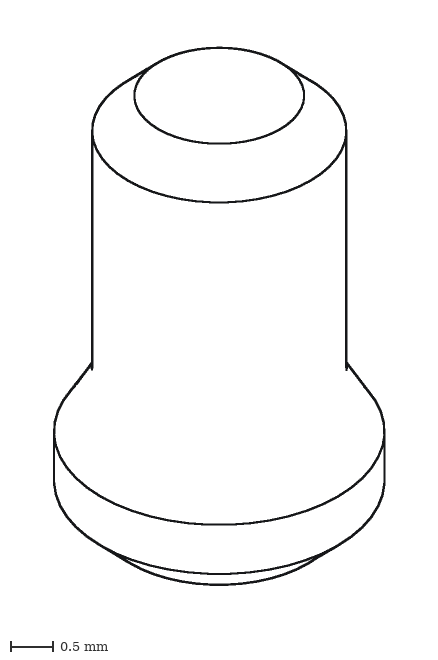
import cadquery as cq
import math

total_height = 6.0
head_radius = 3.9 / 2
shank_radius = 3.0 / 2
chamfer = 0.5
neck_fillet = 0.5
cone_angle = math.radians(30)
cone_base = 1.2

neck_height = cone_base + (head_radius - shank_radius) / math.tan(cone_angle)
tangent_length = neck_fillet * math.tan(cone_angle / 2)
fillet_top = neck_height + tangent_length


def point_on_fillet(angle):
    """Fillet point at an angle below its upper end, as seen from the arc centre."""
    return (
        shank_radius + neck_fillet * (1 - math.cos(angle)),
        fillet_top - neck_fillet * math.sin(angle),
    )


profile = (
    cq.Workplane("XZ")
    .moveTo(0, 0)
    .lineTo(head_radius - chamfer, 0)
    .lineTo(head_radius, chamfer)
    .lineTo(head_radius, cone_base)
    .lineTo(*point_on_fillet(cone_angle))
    .threePointArc(point_on_fillet(cone_angle / 2), point_on_fillet(0))
    .lineTo(shank_radius, total_height - chamfer)
    .lineTo(shank_radius - chamfer, total_height)
    .lineTo(0, total_height)
    .close()
)

result = profile.revolve(360, (0, 0, 0), (0, 1, 0))